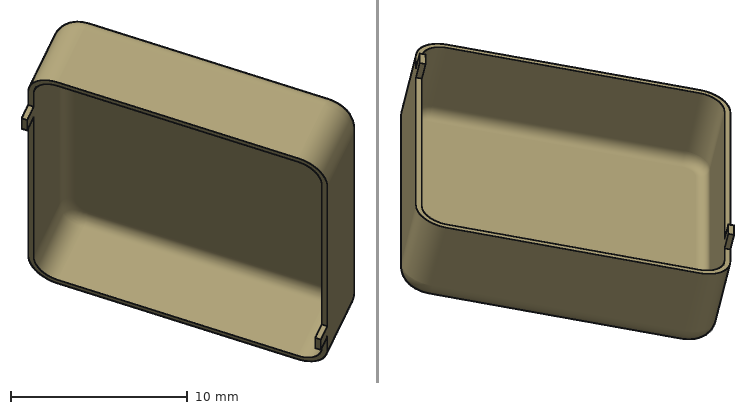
import cadquery as cq

width = 18.2
height = 19.05
total_depth = 6.0
wall = 0.35
corner_radius = 1.8
back_radius = 1.0
tab_length = 1.01
tab_width = 1.0
tab_offset = 6.0

shell_depth = total_depth - tab_length


def rounded_block(inset):
    """Block with rounded corners and back, offset inward by inset from the outer surface."""
    return (
        cq.Workplane("XY")
        .box(
            width - 2 * inset,
            shell_depth - inset,
            height - 2 * inset,
            centered=(True, False, True),
        )
        .edges("|Y")
        .fillet(corner_radius - inset)
        .faces(">Y")
        .edges()
        .fillet(back_radius - inset)
    )


def tab(side):
    """Locating tab flush with one side wall, overlapping the wall by its own thickness."""
    root_overlap = wall
    return (
        cq.Workplane("XY")
        .box(wall, tab_length + root_overlap, tab_width, centered=(True, False, True))
        .translate((side * (width - wall) / 2, -tab_length, -side * tab_offset))
    )


result = rounded_block(0).cut(rounded_block(wall))

for side in (-1, 1):
    result = result.union(tab(side))